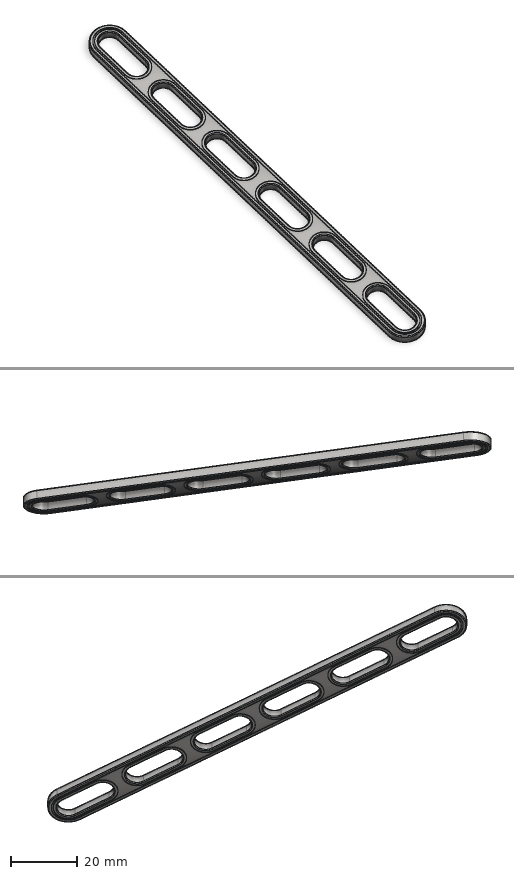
import cadquery as cq

cell_pitch = 25.0
cell_count = 6
bar_width = 12.5
bar_thickness = 3.125
bar_length = cell_pitch * cell_count

wall_width = 2.75
slot_width = bar_width - 2 * wall_width
slot_length = cell_pitch - 2 * wall_width

rim_width = 1.1
recess_depth = 0.2

edge_chamfer = 0.3


def stadium_prism(length, width, height):
    """Round-ended prism centred on the origin."""
    return cq.Workplane("XY").slot2D(length, width).extrude(height / 2, both=True)


def make_bar():
    """Plain bar with chamfered top and bottom edges."""
    bar = stadium_prism(bar_length, bar_width, bar_thickness)
    return bar.faces("|Z").edges().chamfer(edge_chamfer)


def in_every_cell(shape):
    """Copies of a shape, one in the middle of each cell."""
    first_x = (cell_pitch - bar_length) / 2
    copies = cq.Workplane("XY")
    for index in range(cell_count):
        copies = copies.add(shape.translate((first_x + index * cell_pitch, 0, 0)))
    return copies.combine()


def make_slot_flare():
    """Tapered plug, widest at the top face, that chamfers the top edge of one slot."""
    flare = cq.Workplane("XY").workplane(offset=bar_thickness / 2)
    flare = flare.slot2D(slot_length + 2 * edge_chamfer, slot_width + 2 * edge_chamfer)
    return flare.extrude(-edge_chamfer, taper=45)


def make_slot_cutter():
    """Through slot with chamfered top and bottom edges."""
    core = stadium_prism(slot_length, slot_width, bar_thickness)
    flare = make_slot_flare()
    return core.union(flare).union(flare.mirror("XY"))


def make_recess():
    """Sunken areas between the outer rim and the slot rims, on both faces."""
    inside = stadium_prism(bar_length - 2 * rim_width, bar_width - 2 * rim_width, bar_thickness)
    core = stadium_prism(bar_length, bar_width, bar_thickness - 2 * recess_depth)
    slot_rim = stadium_prism(slot_length + 2 * rim_width, slot_width + 2 * rim_width, bar_thickness)
    return inside.cut(core).cut(in_every_cell(slot_rim))


result = make_bar().cut(make_recess()).cut(in_every_cell(make_slot_cutter()))